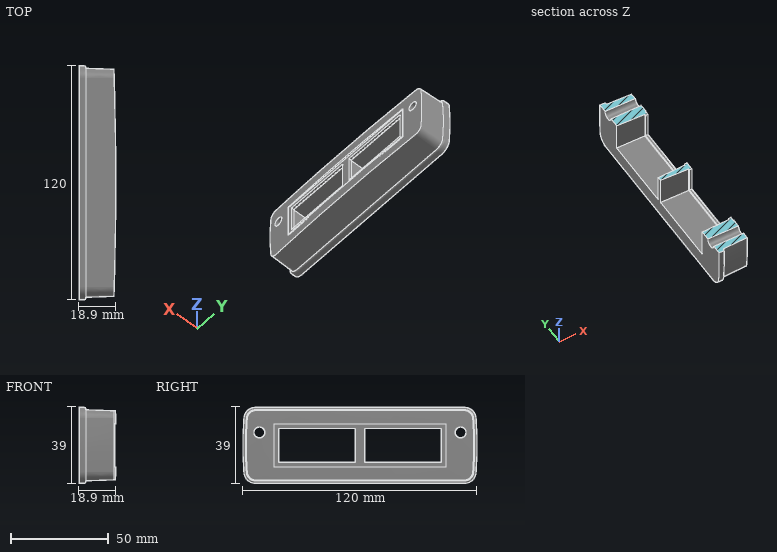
import cadquery as cq
import math

LENGTH = 120.0
HEIGHT = 39.0
CROWN_DEPTH = 18.98

FLANGE_DEPTH = 3.5
FLANGE_FILLET = 1.0
FLANGE_CORNER_RADIUS = 6.0
END_BULGE = 1.0

BODY_INSET = 1.25
BODY_DRAFT = 2.0

CROWN_RADIUS_Y = 1600.0
CROWN_RADIUS_Z = 850.0

RECESS_FLOOR = 18.0
RECESS_LENGTH = 88.0
RECESS_HEIGHT = 22.0

WINDOW_PITCH = 44.0
POCKET_LENGTH = 41.5
POCKET_HEIGHT = 20.0
POCKET_DEPTH = 16.4
POCKET_DRAFT = 2.0
OPENING_LENGTH = 39.0
OPENING_HEIGHT = 17.2

HOLE_DIAMETER = 5.7
HOLE_DRAFT = 0.5
HOLE_OFFSET_Y = 51.5
HOLE_OFFSET_Z = 6.6


def yz_plane(x):
    """Sketch plane at depth x; local axes are Y and Z, the normal is +X."""
    return cq.Workplane("YZ", origin=(x, 0, 0))


def outline(x, inset):
    """Rectangle with arched short ends, shrunk by inset on every side."""
    half_length = LENGTH / 2 - inset
    half_height = HEIGHT / 2 - inset
    shoulder = half_length - END_BULGE
    return (
        yz_plane(x)
        .moveTo(-shoulder, -half_height)
        .lineTo(shoulder, -half_height)
        .threePointArc((half_length, 0), (shoulder, half_height))
        .lineTo(-shoulder, half_height)
        .threePointArc((-half_length, 0), (-shoulder, -half_height))
        .close()
    )


def flange():
    plate = outline(0, 0).extrude(FLANGE_DEPTH)
    plate = plate.edges("|X").fillet(FLANGE_CORNER_RADIUS)
    return plate.faces(">X").edges().fillet(FLANGE_FILLET)


def body():
    """Drafted block whose far end lies beyond the crown that trims it."""
    corner_radius = FLANGE_CORNER_RADIUS - BODY_INSET
    straight = outline(FLANGE_DEPTH, BODY_INSET).extrude(CROWN_DEPTH)
    straight = straight.edges("|X").fillet(corner_radius)
    base = straight.faces("<X").wires().toPending().workplane(invert=True)
    drafted = base.extrude(CROWN_DEPTH, combine=False, taper=BODY_DRAFT)
    return drafted.intersect(crown())


def crown():
    """Barrel-shaped solid: an arc in the XZ plane revolved about an axis parallel to Z."""
    half_height = HEIGHT / 2
    drop = CROWN_RADIUS_Z - math.sqrt(CROWN_RADIUS_Z**2 - half_height**2)
    axis_x = CROWN_DEPTH - CROWN_RADIUS_Y
    sweep_angle = 2 * math.degrees(math.asin(LENGTH / CROWN_RADIUS_Y))
    barrel = (
        cq.Workplane("XZ")
        .moveTo(0, -half_height)
        .lineTo(CROWN_DEPTH - drop, -half_height)
        .threePointArc((CROWN_DEPTH, 0), (CROWN_DEPTH - drop, half_height))
        .lineTo(0, half_height)
        .close()
        .revolve(sweep_angle, (axis_x, 0), (axis_x, 1))
    )
    return barrel.rotate((axis_x, 0, 0), (axis_x, 0, 1), -sweep_angle / 2)


def recess():
    return yz_plane(RECESS_FLOOR).rect(RECESS_LENGTH, RECESS_HEIGHT).extrude(CROWN_DEPTH)


def window(y):
    pocket = yz_plane(0).center(y, 0).rect(POCKET_LENGTH, POCKET_HEIGHT)
    pocket = pocket.extrude(POCKET_DEPTH, taper=POCKET_DRAFT)
    opening = yz_plane(0).center(y, 0).rect(OPENING_LENGTH, OPENING_HEIGHT)
    opening = opening.extrude(CROWN_DEPTH)
    return pocket.union(opening)


def screw_hole(y):
    mouth = yz_plane(0).center(y, HOLE_OFFSET_Z).circle(HOLE_DIAMETER / 2)
    return mouth.extrude(CROWN_DEPTH, taper=HOLE_DRAFT)


result = flange().union(body()).cut(recess())
for side in (-1, 1):
    result = result.cut(window(side * WINDOW_PITCH / 2))
    result = result.cut(screw_hole(side * HOLE_OFFSET_Y))